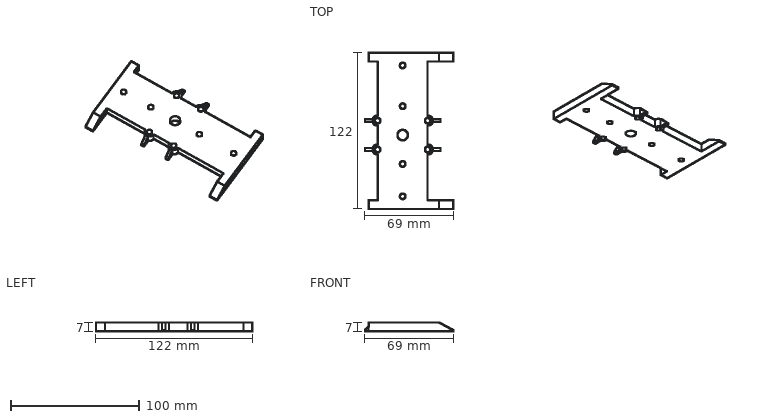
import cadquery as cq


thickness = 7.0
body_width = 39.0
plate_length = 122.0
plate_shift = 3.25
top_end = plate_length / 2 + plate_shift
bottom_end = -plate_length / 2 + plate_shift

arm_depth = 7.0
arm_overhang = 7.0
arm_left = -(body_width / 2 + arm_overhang)
arm_ramp_start = 28.4
arm_tip = 39.5
tip_thickness = 1.0

boss_diameter = 8.0
boss_spacing = 22.5
boss_x = body_width / 2
boss_ys = (-boss_spacing / 2, boss_spacing / 2)
tab_width = 2.5
tab_ramp_start = 23.3
overall_width = 68.99
tab_tip = overall_width - arm_tip

center_hole_diameter = 8.0
small_hole_diameter = 4.2
inner_hole_y = 22.5
end_hole_inset = 10.0
midline_hole_ys = (
    top_end - end_hole_inset,
    inner_hole_y,
    -inner_hole_y,
    bottom_end + end_hole_inset,
)


def ramped_bar(x_start, x_ramp, x_tip, y_min, width):
    """Full-height bar along +X that slopes down to a thin tip."""
    profile = [
        (x_start, 0),
        (x_tip, 0),
        (x_tip, tip_thickness),
        (x_ramp, thickness),
        (x_start, thickness),
    ]
    return (
        cq.Workplane("XZ", origin=(0, y_min, 0))
        .polyline(profile)
        .close()
        .extrude(-width)
    )


def body():
    return (
        cq.Workplane("XY")
        .center(0, plate_shift)
        .rect(body_width, plate_length)
        .extrude(thickness)
    )


def arm(y_min):
    return ramped_bar(arm_left, arm_ramp_start, arm_tip, y_min, arm_depth)


def boss_with_tab(side, y):
    """Boss and tab on the +X (side = 1) or -X (side = -1) edge."""
    boss = (
        cq.Workplane("XY")
        .center(side * boss_x, y)
        .circle(boss_diameter / 2)
        .extrude(thickness)
    )
    tab = ramped_bar(boss_x, tab_ramp_start, tab_tip, y - tab_width / 2, tab_width)
    if side < 0:
        tab = tab.mirror("YZ")
    return boss.union(tab)


def through_holes(points, diameter):
    return (
        cq.Workplane("XY")
        .pushPoints(points)
        .circle(diameter / 2)
        .extrude(thickness)
    )


boss_centers = [(side * boss_x, y) for side in (-1, 1) for y in boss_ys]
midline_centers = [(0, y) for y in midline_hole_ys]

plate = body()
for arm_y in (bottom_end, top_end - arm_depth):
    plate = plate.union(arm(arm_y))
for boss_side in (-1, 1):
    for boss_y in boss_ys:
        plate = plate.union(boss_with_tab(boss_side, boss_y))

plate = plate.cut(through_holes([(0, 0)], center_hole_diameter))
plate = plate.cut(through_holes(boss_centers + midline_centers, small_hole_diameter))

result = plate